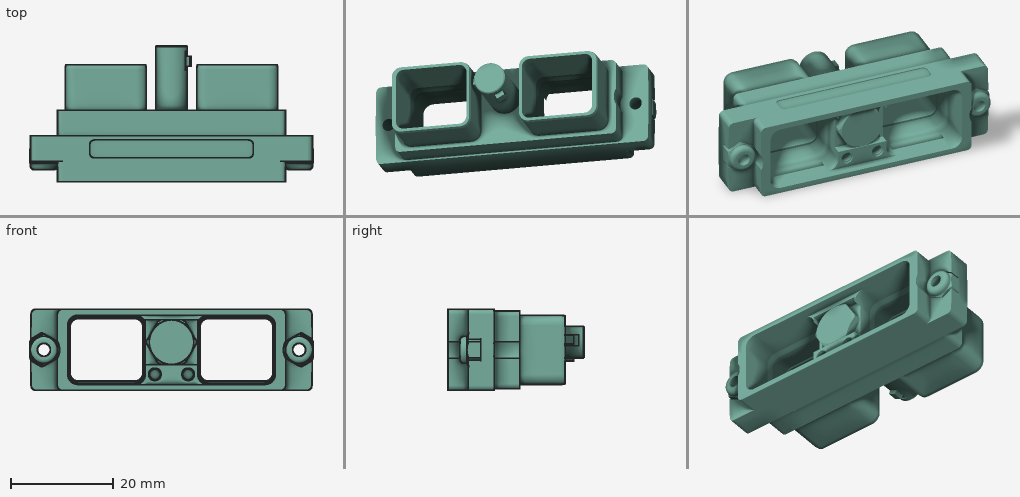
import cadquery as cq
import math

BODY_HEIGHT = 15.93
TOTAL_DEPTH = 26.65

FRONT_WIDTH = 44.7
FLANGE_WIDTH = 55.3
FLANGE_END_DRAFT = 0.15
FLANGE_FRONT_Y = 4.02
FLANGE_BACK_Y = 9.05
BACK_HEIGHT = 15.26
BACK_Y = 14.06
EDGE_RADIUS = 1.0

HOUSING_WIDTH = 15.95
HOUSING_HEIGHT = 13.64
HOUSING_X = 12.88
HOUSING_BACK_Y = 22.95
HOUSING_RADIUS = 2.0
HOUSING_CHAMFER_LENGTH = 0.7
HOUSING_CHAMFER_WIDTH = 0.15

POCKET_WIDTH = 15.25
POCKET_HEIGHT = 13.6
POCKET_X = 12.73
POCKET_RADIUS = 2.1
POCKET_INSET = 0.3
SHOULDER_Y = 6.8
SHOULDER_LENGTH = 1.2
WINDOW_WIDTH = POCKET_WIDTH - 2 * POCKET_INSET
WINDOW_HEIGHT = POCKET_HEIGHT - 2 * POCKET_INSET
WINDOW_RADIUS = POCKET_RADIUS - POCKET_INSET
REAR_WINDOW_WIDTH = 14.25
REAR_WINDOW_HEIGHT = 12.2
REAR_WINDOW_RADIUS = 1.55
REAR_WINDOW_Y = 11.9
LATCH_GROOVE_Y = 4.2
LATCH_GROOVE_LENGTH = 1.85
LATCH_GROOVE_DEPTH = 0.8

WEB_FRONT_Y = 2.0
BOLT_RECESS_Y = 3.85
BOLT_RECESS_TOP = 5.9
BOLT_RECESS_BOTTOM = -2.93
BOLT_Z = 1.5
BOLT_ACROSS_FLATS = 8.7
BOLT_CORNER_DIAMETER = 9.65
BOLT_FACE_DIAMETER = 8.7
BOLT_FRONT_Y = WEB_FRONT_Y
BOLT_CHAMFER_LENGTH = 0.3
PIN_HOLE_X = 3.25
PIN_HOLE_Z = -4.8
PIN_HOLE_DIAMETER = 2.1
PIN_HOLE_DEPTH = 1.5
PIN_COUNTERBORE_DIAMETER = 2.45
PIN_COUNTERBORE_DEPTH = 0.4

PLUG_DIAMETER = 6.25
PLUG_CHAMFER = 0.2
KEY_ANGLES = (8, -118)
KEY_REACH = 3.75
KEY_WIDTH = 1.7
KEY_Y = (22.6, 24.65)
SLOT_WIDTH = 2.2
SLOT_FLOOR = 2.85
SLOT_Y = (21.85, 25.6)

NUT_X = 25.0
NUT_ACROSS_FLATS = 5.5
NUT_TURN = 30
NUT_FRONT_Y = 3.68
NUT_BACK_Y = 6.4
NUT_FACE_DIAMETER = 5.4
NUT_HOLE_DIAMETER = 2.5
NUT_POCKET_ACROSS_FLATS = 5.8
NUT_POCKET_SHIFT = 0.42
COLLAR_DIAMETER = 5.32
COLLAR_FRONT_Y = 2.34
COLLAR_RADIUS = 0.84
COLLAR_CLEARANCE_DIAMETER = 6.2

LABEL_WIDTH = 32.0
LABEL_Y = (4.7, 8.2)
LABEL_RADIUS = 0.9
LABEL_DEPTH = 0.2


def section(y):
    """Sketch plane at depth y with local axes X and Z; a negative extrusion runs towards +Y."""
    return cq.Workplane("XZ", origin=(0, y, 0))


def block(width, height, y_start, y_end, x=0, z=0):
    """Box centred on (x, z) between two depths."""
    return section(y_start).center(x, z).rect(width, height).extrude(y_start - y_end)


def rounded_block(width, height, radius, y_start, y_end, x=0):
    return block(width, height, y_start, y_end, x).edges("|Y").fillet(radius)


def rod(diameter, y_start, y_end, x=0, z=0):
    return section(y_start).center(x, z).circle(diameter / 2).extrude(y_start - y_end)


def cone(start_diameter, end_diameter, y_start, y_end, x=0, z=0):
    return (
        section(y_start).center(x, z).circle(start_diameter / 2)
        .workplane(offset=y_start - y_end).circle(end_diameter / 2).loft(ruled=True)
    )


def hexagon(across_flats, y_start, y_end, x=0, z=0, turn=0):
    corner_diameter = across_flats / math.cos(math.pi / 6)
    prism = section(y_start).polygon(6, corner_diameter).extrude(y_start - y_end)
    return prism.rotate((0, 0, 0), (0, 1, 0), turn).translate((x, 0, z))


def flange():
    middle = FLANGE_WIDTH / 2
    tip = middle - FLANGE_END_DRAFT
    top = BODY_HEIGHT / 2
    outline = [(-tip, top), (tip, top), (middle, 0), (tip, -top), (-tip, -top), (-middle, 0)]
    plate = section(FLANGE_FRONT_Y).polyline(outline).close().extrude(FLANGE_FRONT_Y - FLANGE_BACK_Y)
    corner_edges = plate.edges("|Y").edges(">Z or <Z")
    return corner_edges.fillet(EDGE_RADIUS)


def body():
    front = rounded_block(FRONT_WIDTH, BODY_HEIGHT, EDGE_RADIUS, 0, FLANGE_BACK_Y)
    back = rounded_block(FRONT_WIDTH, BACK_HEIGHT, EDGE_RADIUS, FLANGE_FRONT_Y, BACK_Y)
    solid = front.union(back)
    for side in (-1, 1):
        clearance = rod(COLLAR_CLEARANCE_DIAMETER, 0, BACK_Y, side * NUT_X)
        solid = solid.cut(clearance)
    return solid.union(flange())


def housing(x):
    shell = rounded_block(HOUSING_WIDTH, HOUSING_HEIGHT, HOUSING_RADIUS, FLANGE_BACK_Y, HOUSING_BACK_Y, x)
    return shell.faces(">Y").chamfer(HOUSING_CHAMFER_LENGTH, HOUSING_CHAMFER_WIDTH)


def rounded_outline(width, height, radius):
    return cq.Sketch().rect(width, height).vertices().fillet(radius)


def shoulder(x):
    """Sloped transition from the pocket outline to the window outline."""
    window_start = cq.Location(cq.Vector(0, 0, -SHOULDER_LENGTH))
    return (
        section(SHOULDER_Y).center(x, 0)
        .placeSketch(
            rounded_outline(POCKET_WIDTH, POCKET_HEIGHT, POCKET_RADIUS),
            rounded_outline(WINDOW_WIDTH, WINDOW_HEIGHT, WINDOW_RADIUS).moved(window_start),
        )
        .loft()
    )


def latch_groove(x):
    """Wedge in the pocket floor: a steep front wall, then a ramp back up to the floor."""
    floor = -POCKET_HEIGHT / 2
    length = POCKET_WIDTH - 2 * POCKET_RADIUS
    profile = [
        (LATCH_GROOVE_Y, floor),
        (LATCH_GROOVE_Y, floor - LATCH_GROOVE_DEPTH),
        (LATCH_GROOVE_Y + LATCH_GROOVE_LENGTH, floor),
    ]
    return cq.Workplane("YZ", origin=(x - length / 2, 0, 0)).polyline(profile).close().extrude(length)


def pocket(x):
    front = rounded_block(POCKET_WIDTH, POCKET_HEIGHT, POCKET_RADIUS, 0, SHOULDER_Y, x)
    window = rounded_block(WINDOW_WIDTH, WINDOW_HEIGHT, WINDOW_RADIUS, SHOULDER_Y, REAR_WINDOW_Y, x)
    rear_window = rounded_block(
        REAR_WINDOW_WIDTH, REAR_WINDOW_HEIGHT, REAR_WINDOW_RADIUS, SHOULDER_Y, HOUSING_BACK_Y, x
    )
    return front.union(shoulder(x)).union(window).union(rear_window).union(latch_groove(x))


def cavity():
    """Full mouth opening down to the web, and the bolt recess in the web."""
    mouth_width = 2 * POCKET_X + POCKET_WIDTH
    mouth = rounded_block(mouth_width, POCKET_HEIGHT, POCKET_RADIUS, 0, WEB_FRONT_Y)
    recess_height = BOLT_RECESS_TOP - BOLT_RECESS_BOTTOM
    recess_z = (BOLT_RECESS_TOP + BOLT_RECESS_BOTTOM) / 2
    recess = block(2 * POCKET_X - POCKET_WIDTH, recess_height, 0, BOLT_RECESS_Y, z=recess_z)
    return mouth.union(recess)


def pin_hole(x):
    counterbore_y = WEB_FRONT_Y + PIN_COUNTERBORE_DEPTH
    hole = rod(PIN_HOLE_DIAMETER, WEB_FRONT_Y, WEB_FRONT_Y + PIN_HOLE_DEPTH, x, PIN_HOLE_Z)
    return hole.union(rod(PIN_COUNTERBORE_DIAMETER, WEB_FRONT_Y, counterbore_y, x, PIN_HOLE_Z))


def bolt_head():
    head = hexagon(BOLT_ACROSS_FLATS, BOLT_FRONT_Y, BACK_Y, z=BOLT_Z)
    chamfer_y = BOLT_FRONT_Y + BOLT_CHAMFER_LENGTH
    nose = cone(BOLT_FACE_DIAMETER, BOLT_CORNER_DIAMETER, BOLT_FRONT_Y, chamfer_y, z=BOLT_Z)
    shank = rod(BOLT_CORNER_DIAMETER, chamfer_y, BACK_Y, z=BOLT_Z)
    return head.intersect(nose.union(shank))


def radial_bar(inner, outer, width, y_range, angle):
    """Bar reaching outwards from the plug axis, at an angle measured from +X towards +Z."""
    bar = block(outer - inner, width, *y_range, x=(inner + outer) / 2)
    return bar.rotate((0, 0, 0), (0, 1, 0), -angle).translate((0, 0, BOLT_Z))


def plug():
    solid = rod(PLUG_DIAMETER, BOLT_RECESS_Y, TOTAL_DEPTH, z=BOLT_Z).faces(">Y").chamfer(PLUG_CHAMFER)
    for angle in KEY_ANGLES:
        solid = solid.cut(radial_bar(SLOT_FLOOR, KEY_REACH, SLOT_WIDTH, SLOT_Y, angle))
        solid = solid.union(radial_bar(0, KEY_REACH, KEY_WIDTH, KEY_Y, angle))
    return solid


def nut_pocket(side):
    x = side * (NUT_X + NUT_POCKET_SHIFT)
    return hexagon(NUT_POCKET_ACROSS_FLATS, 0, NUT_BACK_Y, x, turn=NUT_TURN).intersect(
        block(2 * FLANGE_WIDTH, BODY_HEIGHT, FLANGE_FRONT_Y, NUT_BACK_Y)
    )


def captive_nut(side):
    """Hexagon nut with a chamfered front face and a domed collar in front of it."""
    x = side * NUT_X
    corner_diameter = NUT_ACROSS_FLATS / math.cos(math.pi / 6)
    nut = hexagon(NUT_ACROSS_FLATS, NUT_FRONT_Y, NUT_BACK_Y, x, turn=NUT_TURN)
    nose = cone(NUT_FACE_DIAMETER, corner_diameter, NUT_FRONT_Y, FLANGE_FRONT_Y, x)
    nut = nut.intersect(nose.union(rod(corner_diameter, FLANGE_FRONT_Y, NUT_BACK_Y, x)))
    collar = rod(COLLAR_DIAMETER, COLLAR_FRONT_Y, NUT_FRONT_Y, x).faces("<Y").edges().fillet(COLLAR_RADIUS)
    return nut.union(collar)


def label_recess():
    front_y, back_y = LABEL_Y
    recess = (
        cq.Workplane("XY", origin=(0, (front_y + back_y) / 2, BODY_HEIGHT / 2))
        .rect(LABEL_WIDTH, back_y - front_y).extrude(-LABEL_DEPTH)
    )
    return recess.edges("|Z").fillet(LABEL_RADIUS)


def connector():
    solid = body().union(housing(-HOUSING_X)).union(housing(HOUSING_X))
    solid = solid.cut(cavity()).cut(pocket(-POCKET_X)).cut(pocket(POCKET_X))
    for side in (-1, 1):
        solid = solid.cut(pin_hole(side * PIN_HOLE_X))
        solid = solid.cut(nut_pocket(side)).union(captive_nut(side))
        solid = solid.cut(rod(NUT_HOLE_DIAMETER, 0, FLANGE_BACK_Y, side * NUT_X))
    return solid.union(bolt_head()).union(plug()).cut(label_recess())


result = connector()